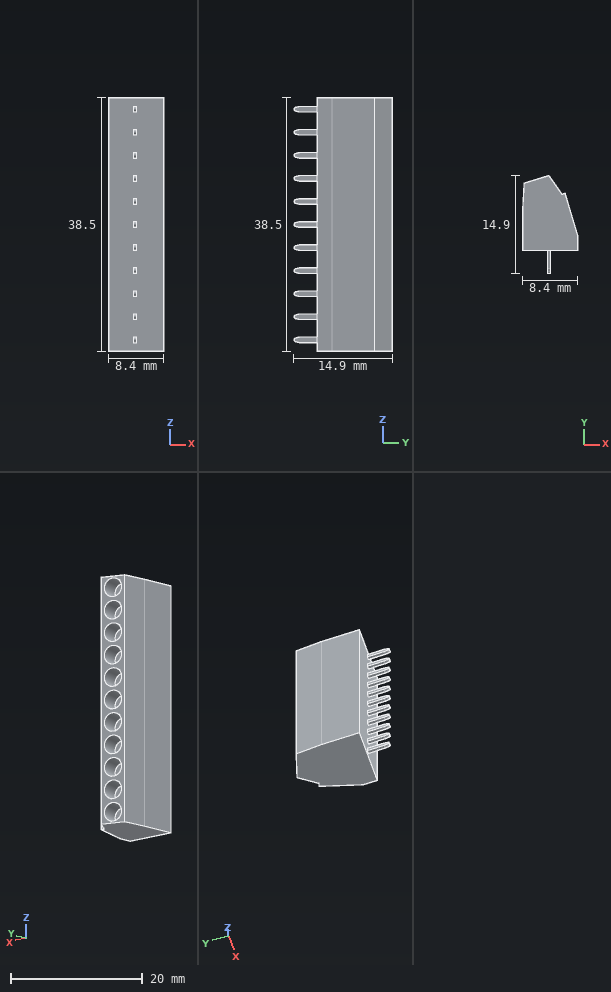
import cadquery as cq
import math

length = 38.5
width = 8.4
side_height = 2.27
kink_height = 6.1
entry_low = (0.25, 10.25)
ridge = (4.0, 11.4)
notch = (6.0, 8.55)
lip = (6.45, 8.7)

pole_count = 11
pitch = length / pole_count

entry_diameter = 2.9
entry_depth = 3.85

pin_x = ridge[0]
pin_thickness = 0.5
pin_height = 0.9
pin_length = 3.5
pin_tip_length = 0.8
nose_height = 0.6
nose_length = 0.27
pin_embed = 0.4


def make_housing():
    return (
        cq.Workplane("XY")
        .moveTo(0, 0)
        .lineTo(width, 0)
        .lineTo(width, side_height)
        .lineTo(*lip)
        .lineTo(*notch)
        .lineTo(*ridge)
        .lineTo(*entry_low)
        .lineTo(0, kink_height)
        .close()
        .extrude(length)
    )


def make_entry_hole(z):
    run = ridge[0] - entry_low[0]
    rise = ridge[1] - entry_low[1]
    slope = math.hypot(run, rise)
    center = cq.Vector(entry_low[0] + run / 2, entry_low[1] + rise / 2, z)
    inward = cq.Vector(rise / slope, -run / slope, 0)
    hole = cq.Solid.makeCylinder(entry_diameter / 2, entry_depth, center, inward)
    return cq.Workplane(obj=hole)


def make_pin(z):
    half = pin_height / 2
    nose_half = nose_height / 2
    tip_y = -pin_length
    shoulder_y = tip_y + pin_tip_length
    nose_y = tip_y + nose_length
    return (
        cq.Workplane("YZ", origin=(pin_x - pin_thickness / 2, 0, z))
        .moveTo(pin_embed, -half)
        .lineTo(shoulder_y, -half)
        .lineTo(nose_y, -nose_half)
        .threePointArc((tip_y, 0), (nose_y, nose_half))
        .lineTo(shoulder_y, half)
        .lineTo(pin_embed, half)
        .close()
        .extrude(pin_thickness)
    )


result = make_housing()
for pole in range(pole_count):
    pole_z = (pole + 0.5) * pitch
    result = result.cut(make_entry_hole(pole_z)).union(make_pin(pole_z))